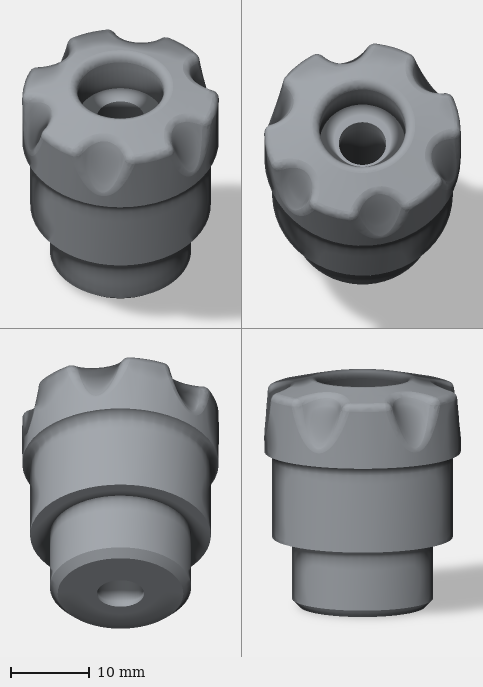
import cadquery as cq
import math

total_height = 29.45
spigot_top = 8.95
cap_bottom = 19.97
bore_floor = 23.98

spigot_diameter = 18.0
neck_diameter = 23.0
cap_diameter = 25.0
bore_diameter = 11.0
through_hole_diameter = 6.0

spigot_chamfer = 1.0
under_cap_radius = (cap_diameter - neck_diameter) / 2
rim_radius = 1.0
lip_radius = 1.0
scallop_edge_radius = 1.18

crown_angle = 12.8

scallop_count = 6
scallop_radius = 3.54
scallop_tilt = 26.0
scallop_runout_height = 22.0
scallop_tool_length = 29.45
scallop_clearance = 0.3


def make_body():
    """Revolve the outer shape, with a conical crown and a cove below the cap."""
    spigot_r = spigot_diameter / 2
    neck_r = neck_diameter / 2
    cap_r = cap_diameter / 2
    slope = math.tan(math.radians(crown_angle))
    lip_center_r = bore_diameter / 2 + lip_radius
    lip_center_z = total_height - lip_radius
    apex_z = lip_center_z + lip_radius / math.cos(math.radians(crown_angle)) + lip_center_r * slope
    cap_edge_z = apex_z - cap_r * slope
    cove_mid = under_cap_radius * math.sqrt(0.5)
    cove_center_r = neck_r + under_cap_radius
    cove_center_z = cap_bottom - under_cap_radius
    profile = (
        cq.Workplane("XZ")
        .moveTo(0, 0)
        .lineTo(spigot_r - spigot_chamfer, 0)
        .lineTo(spigot_r, spigot_chamfer)
        .lineTo(spigot_r, spigot_top)
        .lineTo(neck_r, spigot_top)
        .lineTo(neck_r, cove_center_z)
        .threePointArc((cove_center_r - cove_mid, cove_center_z + cove_mid), (cap_r, cap_bottom))
        .lineTo(cap_r, cap_edge_z)
        .lineTo(0, apex_z)
        .close()
    )
    body = profile.revolve(360, (0, 0, 0), (0, 1, 0))
    rim_edges = body.edges("%CIRCLE").edges(">Z")
    return rim_edges.fillet(rim_radius)


def make_scallop(angle):
    """Cylinder whose innermost line meets the cap wall at the runout height."""
    tilt = math.radians(scallop_tilt)
    axis = cq.Vector(-math.sin(tilt), 0, math.cos(tilt))
    outward = cq.Vector(math.cos(tilt), 0, math.sin(tilt))
    runout = cq.Vector(cap_diameter / 2, 0, scallop_runout_height)
    start = runout + outward * scallop_radius - axis * (scallop_tool_length / 2)
    tool = cq.Solid.makeCylinder(scallop_radius, scallop_tool_length, start, axis)
    return tool.rotate(cq.Vector(0, 0, 0), cq.Vector(0, 0, 1), angle)


def cut_scallops(body):
    """Cut the finger scallops and round their edges."""
    for index in range(scallop_count):
        body = body.cut(cq.Workplane(make_scallop(index * 360 / scallop_count)))
    walls = [
        face
        for face in body.faces("%CYLINDER").vals()
        if face.BoundingBox().zmin > cap_bottom + scallop_clearance
    ]
    edges = [edge for wall in walls for edge in wall.Edges()]
    return body.newObject(edges).fillet(scallop_edge_radius)


def cut_bore(body):
    """Cut the stepped bore and round the lip at its mouth."""
    through = cq.Workplane("XY").circle(through_hole_diameter / 2).extrude(2 * total_height)
    bore = cq.Workplane("XY", origin=(0, 0, bore_floor)).circle(bore_diameter / 2).extrude(total_height)
    body = body.cut(through).cut(bore)
    return body.edges("%CIRCLE").edges(">Z").fillet(lip_radius)


result = cut_bore(cut_scallops(make_body()))